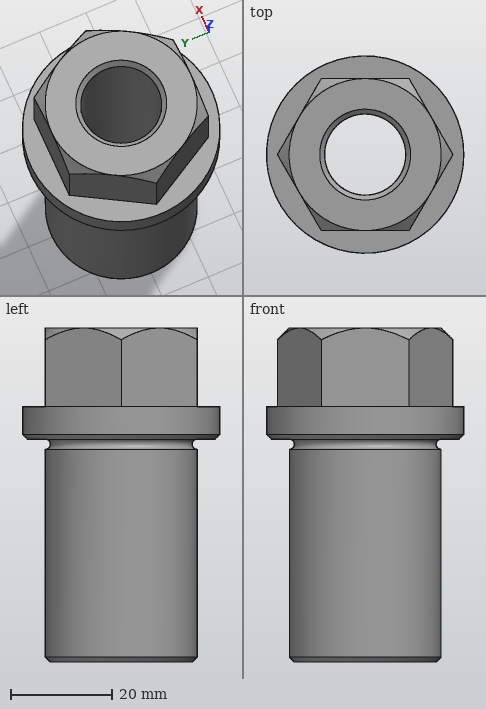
import cadquery as cq
import math

total_height = 66.0
head_height = 15.5
flange_height = 6.5
groove_radius = 1.0

flange_radius = 39.0 / 2
shank_radius = 30.0 / 2
hex_across_flats = 2 * shank_radius
bore_radius = 16.0 / 2

shank_chamfer = 1.0
flange_chamfer = 1.0
bore_chamfer = 1.0

flange_top = total_height - head_height
flange_bottom = flange_top - flange_height
shank_top = flange_bottom - 2 * groove_radius


def revolve_about_z(profile):
    """Close an XZ profile and turn it about the part axis."""
    return profile.close().revolve(360, (0, 0), (0, 1))


def make_shank_and_flange():
    """Shank and flange, with a semicircular relief groove between them."""
    profile = (
        cq.Workplane("XZ")
        .lineTo(shank_radius - shank_chamfer, 0)
        .lineTo(shank_radius, shank_chamfer)
        .lineTo(shank_radius, shank_top)
        .threePointArc(
            (shank_radius - groove_radius, shank_top + groove_radius),
            (shank_radius, flange_bottom),
        )
        .lineTo(flange_radius - flange_chamfer, flange_bottom)
        .lineTo(flange_radius, flange_bottom + flange_chamfer)
        .lineTo(flange_radius, flange_top)
        .lineTo(0, flange_top)
    )
    return revolve_about_z(profile)


def make_hex_head():
    """Hexagon with corners on the X axis, its top corners cut by a 45 degree cone."""
    corner_diameter = hex_across_flats / math.cos(math.radians(30))
    hexagon = (
        cq.Workplane("XY", origin=(0, 0, flange_top))
        .polygon(6, corner_diameter)
        .extrude(head_height)
    )
    cone_top_radius = hex_across_flats / 2
    cone_height = flange_radius - cone_top_radius
    envelope = (
        cq.Workplane("XZ")
        .moveTo(0, flange_top)
        .lineTo(flange_radius, flange_top)
        .lineTo(flange_radius, total_height - cone_height)
        .lineTo(cone_top_radius, total_height)
        .lineTo(0, total_height)
    )
    return hexagon.intersect(revolve_about_z(envelope))


def make_bore():
    """Through bore with a chamfered mouth at the top."""
    profile = (
        cq.Workplane("XZ")
        .lineTo(bore_radius, 0)
        .lineTo(bore_radius, total_height - bore_chamfer)
        .lineTo(bore_radius + bore_chamfer, total_height)
        .lineTo(0, total_height)
    )
    return revolve_about_z(profile)


result = make_shank_and_flange().union(make_hex_head()).cut(make_bore())